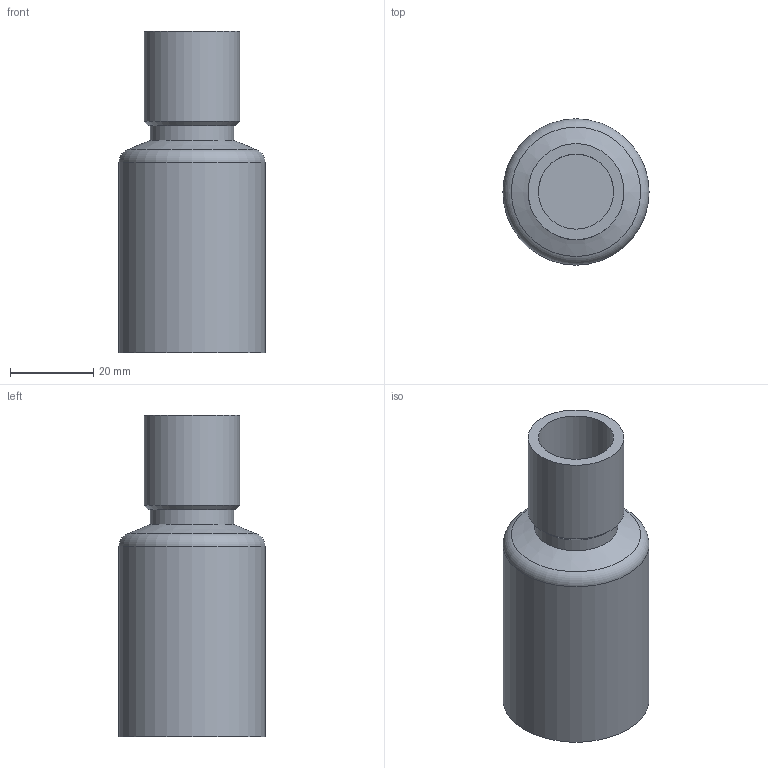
import cadquery as cq
import math

body_radius = 35 / 2
body_straight_height = 45.6
cone_base_radius = 31 / 2
cone_slope = math.radians(22.5)

overall_height = 77.0
neck_radius = 20 / 2
sleeve_radius = 23 / 2
sleeve_base_z = 54.4
sleeve_chamfer = 1.0

bore_radius = 18 / 2
bore_depth = overall_height - sleeve_base_z

shoulder_radius = (body_radius - cone_base_radius) / (1 - math.sin(cone_slope))
cone_base_z = body_straight_height + shoulder_radius * math.cos(cone_slope)
neck_base_z = cone_base_z + (cone_base_radius - neck_radius) * math.tan(cone_slope)


def outer_solid():
    """Revolve the half section between the Z axis and the outer skin."""
    half_section = (
        cq.Workplane("XZ")
        .lineTo(body_radius, 0)
        .lineTo(body_radius, body_straight_height)
        .tangentArcPoint((cone_base_radius, cone_base_z), relative=False)
        .lineTo(neck_radius, neck_base_z)
        .lineTo(neck_radius, sleeve_base_z)
        .lineTo(sleeve_radius - sleeve_chamfer, sleeve_base_z)
        .lineTo(sleeve_radius, sleeve_base_z + sleeve_chamfer)
        .lineTo(sleeve_radius, overall_height)
        .lineTo(0, overall_height)
        .close()
    )
    return half_section.revolve(360, (0, 0, 0), (0, 1, 0))


def bore():
    """Cylinder removed from the open top end."""
    return (
        cq.Workplane("XY")
        .workplane(offset=overall_height - bore_depth)
        .circle(bore_radius)
        .extrude(bore_depth)
    )


result = outer_solid().cut(bore())